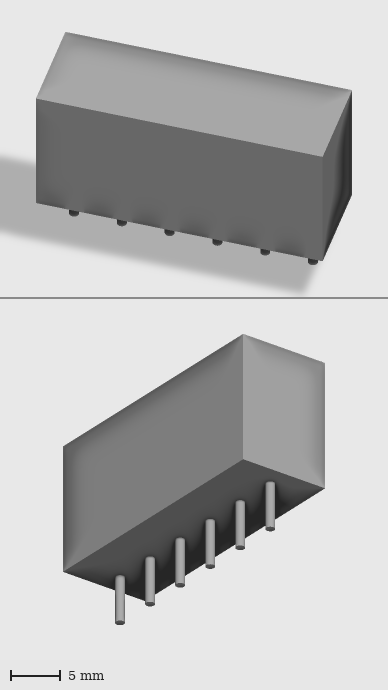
import cadquery as cq

housing_length = 30.0
housing_width = 10.3
overall_height = 19.4
pin_length = 5.15
housing_height = overall_height - pin_length

pin_count = 6
pin_diameter = 1.0
pin_row_span = 25.0
pin_pitch = pin_row_span / (pin_count - 1)
pin_row_y = -0.15


def make_housing():
    """Block centred on the Z axis with its underside at Z = 0."""
    return cq.Workplane("XY").box(
        housing_length, housing_width, housing_height, centered=(True, True, False)
    )


def make_pin(x):
    """Round pin hanging from the underside of the housing."""
    return cq.Workplane("XY").center(x, pin_row_y).circle(pin_diameter / 2).extrude(-pin_length)


housing = make_housing()

first_pin_x = -pin_row_span / 2
pins = [make_pin(first_pin_x + index * pin_pitch) for index in range(pin_count)]

result = cq.Compound.makeCompound([housing.val(), *[pin.val() for pin in pins]])